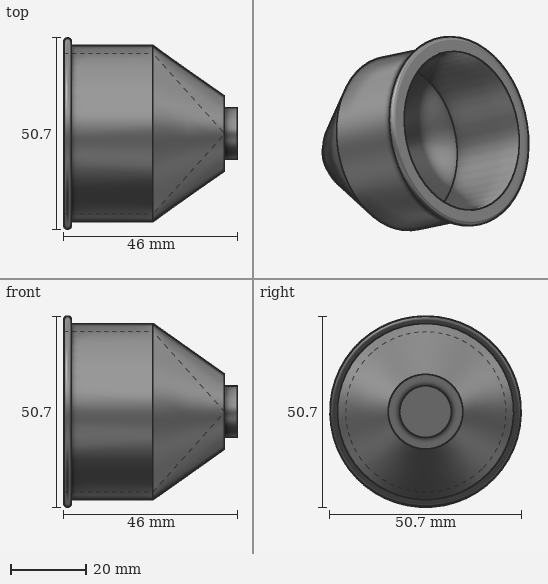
import cadquery as cq

total_length = 46.0
rim_thickness = 2.0
rim_round = rim_thickness / 2
barrel_end = 23.6
cone_end = 42.6

rim_diameter = 50.7
barrel_diameter = 46.7
cone_tip_diameter = 19.8
spigot_diameter = 13.7

bore_diameter = 42.5
bore_depth = barrel_end
cavity_tip = cone_end



def revolve_about_x(profile):
    """Turn a closed half profile in the XZ plane fully around the X axis."""
    return profile.close().revolve(360, (0, 0, 0), (1, 0, 0))


def outer_body():
    """Barrel with a full-round rim, tapering to a short end spigot."""
    rim_radius = rim_diameter / 2
    profile = (
        cq.Workplane("XZ")
        .lineTo(0, rim_radius - rim_round)
        .threePointArc((rim_round, rim_radius), (rim_thickness, rim_radius - rim_round))
        .lineTo(rim_thickness, barrel_diameter / 2)
        .lineTo(barrel_end, barrel_diameter / 2)
        .lineTo(cone_end, cone_tip_diameter / 2)
        .lineTo(cone_end, spigot_diameter / 2)
        .lineTo(total_length, spigot_diameter / 2)
        .lineTo(total_length, 0)
    )
    return revolve_about_x(profile)


def cavity():
    """Straight bore that ends in a pointed cone."""
    profile = (
        cq.Workplane("XZ")
        .lineTo(0, bore_diameter / 2)
        .lineTo(bore_depth, bore_diameter / 2)
        .lineTo(cavity_tip, 0)
    )
    return revolve_about_x(profile)


result = outer_body().cut(cavity())